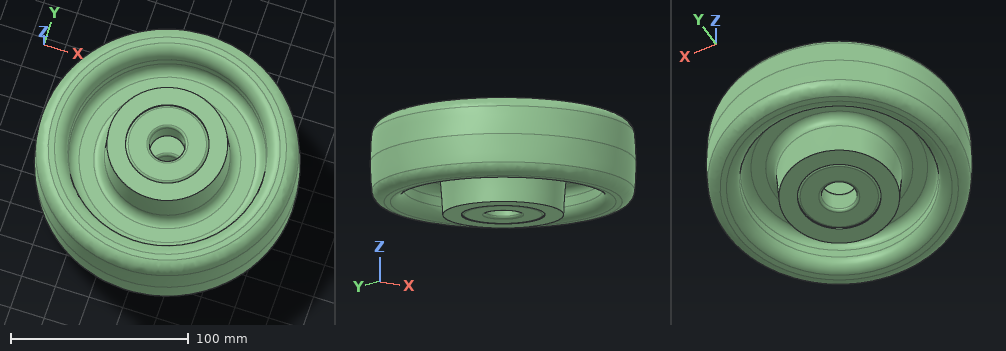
import cadquery as cq
import math

wheel_radius = 75.0
hub_half_width = 30.0
rim_half_width = 22.5
web_half_thickness = 4.5
draft = math.tan(math.radians(4.0))

hub_end_radius = 34.0
hub_web_radius = hub_end_radius + draft * (hub_half_width - web_half_thickness)
rim_web_radius = 55.4
rim_mouth_radius = rim_web_radius + draft * (rim_half_width - web_half_thickness)

crown_radius = 150.0
web_fillet = 6.0
rim_inner_fillet = 7.5
rim_outer_fillet = 7.0

bearing_radius = 23.5
bearing_bore_radius = 10.0
bearing_width = 15.0
bearing_edge_fillet = 1.5


def tread_radius(z):
    """Radius of the crowned tread at height z."""
    return wheel_radius - crown_radius + math.sqrt(crown_radius**2 - z**2)


def fillet_circle(body, radius, height, fillet):
    """Round the circular edge with the given radius and height."""
    tolerance = 0.02
    edges = [
        edge
        for edge in body.edges("%CIRCLE").vals()
        if abs(edge.radius() - radius) < tolerance
        and abs(edge.Center().z - height) < tolerance
    ]
    return body.newObject(edges).fillet(fillet)


def make_wheel():
    """Hub, web and crowned rim, bored through for the two bearings."""
    tread_edge_radius = tread_radius(rim_half_width)
    mid_height = rim_half_width / 2
    half = (
        cq.Workplane("XZ")
        .moveTo(bearing_radius, 0)
        .lineTo(wheel_radius, 0)
        .threePointArc((tread_radius(mid_height), mid_height), (tread_edge_radius, rim_half_width))
        .lineTo(rim_mouth_radius, rim_half_width)
        .lineTo(rim_web_radius, web_half_thickness)
        .lineTo(hub_web_radius, web_half_thickness)
        .lineTo(hub_end_radius, hub_half_width)
        .lineTo(bearing_radius, hub_half_width)
        .close()
        .revolve(360, (0, 0, 0), (0, 1, 0))
    )
    half = fillet_circle(half, hub_web_radius, web_half_thickness, web_fillet)
    half = fillet_circle(half, rim_web_radius, web_half_thickness, web_fillet)
    half = fillet_circle(half, rim_mouth_radius, rim_half_width, rim_inner_fillet)
    half = fillet_circle(half, tread_edge_radius, rim_half_width, rim_outer_fillet)
    return half.union(half.mirror("XY"))


def make_bearing(bottom):
    """Bearing ring with rounded rims, its lower face at the given height."""
    return (
        cq.Workplane("XY", origin=(0, 0, bottom))
        .circle(bearing_radius)
        .circle(bearing_bore_radius)
        .extrude(bearing_width)
        .faces("|Z")
        .edges()
        .fillet(bearing_edge_fillet)
    )


wheel = make_wheel()

bearings = []
for bearing_bottom in (-hub_half_width, hub_half_width - bearing_width):
    bearings.append(make_bearing(bearing_bottom).val())

result = cq.Compound.makeCompound([wheel.val(), *bearings])